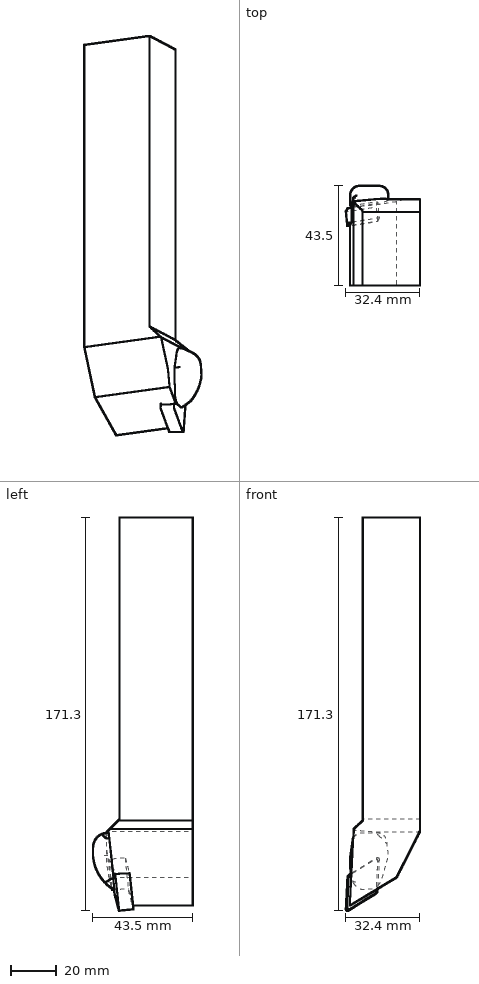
import cadquery as cq
import math

shank_width = 25.0
shank_height = 32.0
tool_top = 171.35
head_height = 37.6
step_z = 39.3
rise_z = 39.9
side_angle = 3.0
shoulder = (-28.9, 35.7)
head_tip = (-30.6, 2.3)
heel = (-10.2, 14.5)
relief_start_z = 34.6

tilt_x = 0.1
tilt_z = 0.1
tilt_normal = cq.Vector(-tilt_x, 1, -tilt_z)
head_above_insert = 0.8

space_size = 120.0
space_height = 30.0

insert_tip = (-32.45, 32.0, -0.68)
insert_edge = 15.8
insert_corner_angle = 55.0
insert_thickness = 6.35
nose_radius = 0.8
pocket_clearance_height = 10.0

clamp_outline = [
    (-27.5, 34.0),
    (-15.0, 34.0),
    (-13.8, 24.0),
    (-18.0, 9.2),
    (-27.0, 9.2),
    (-30.3, 14.0),
    (-30.5, 23.0),
    (-29.3, 31.5),
]
clamp_top = 43.46
clamp_crest_z = 27.5
clamp_base = 28.0
clamp_rear_z = 35.0
clamp_rear_shoulder = (37.0, 34.0)
clamp_rear_bulge = (41.9, 31.8)
clamp_front_bulge = (41.6, 17.0)
clamp_front_foot = (34.5, 9.2)
clamp_round = 4.0
clamp_round_start = 35.5


def tilted_plane(point):
    """Plane through a point, parallel to the insert; local x runs up its cutting side."""
    edge_x = math.sin(math.radians(side_angle))
    edge_z = math.cos(math.radians(side_angle))
    along_edge = cq.Vector(edge_x, tilt_x * edge_x + tilt_z * edge_z, edge_z)
    return cq.Plane(origin=point, xDir=along_edge, normal=tilt_normal)


def insert_prism(top_offset, bottom_offset):
    """Rhombic prism with rounded corners between two offsets from the insert's top face."""
    angle = math.radians(insert_corner_angle)
    run = insert_edge * math.cos(angle)
    rise = insert_edge * math.sin(angle)
    return (
        cq.Workplane(tilted_plane(insert_tip))
        .workplane(offset=bottom_offset)
        .polyline([(0, 0), (insert_edge, 0), (insert_edge + run, rise), (run, rise)])
        .close()
        .extrude(top_offset - bottom_offset)
        .edges(cq.selectors.ParallelDirSelector(tilt_normal))
        .fillet(nose_radius)
    )


def make_holder():
    """Shank and head: plan outline extruded from the base, limited by the side outline."""
    plan = (
        cq.Workplane("XZ")
        .polyline([
            (0, tool_top),
            (-shank_width, tool_top),
            (-shank_width, step_z),
            shoulder,
            head_tip,
            heel,
            (0, relief_start_z),
        ])
        .close()
        .extrude(-head_height)
    )
    side = (
        cq.Workplane("YZ")
        .polyline([
            (0, 0),
            (0, tool_top),
            (shank_height, tool_top),
            (shank_height, rise_z),
            (head_height, rise_z - (head_height - shank_height)),
            (head_height, 0),
        ])
        .close()
        .extrude(2 * head_tip[0])
    )
    return plan.intersect(side)


def space_above_head():
    """Everything above the tilted face of the head."""
    return (
        cq.Workplane(tilted_plane(insert_tip))
        .workplane(offset=head_above_insert)
        .rect(space_size, space_size)
        .extrude(space_height)
    )


def make_clamp():
    """Straight walls under a domed top, rounded where they meet, standing on the head face."""
    walls = (
        cq.Workplane("XZ", origin=(0, clamp_base, 0))
        .polyline(clamp_outline)
        .close()
        .extrude(clamp_base - clamp_top)
    )
    dome = (
        cq.Workplane("YZ")
        .moveTo(clamp_base, clamp_rear_z)
        .lineTo(*clamp_rear_shoulder)
        .threePointArc(clamp_rear_bulge, (clamp_top, clamp_crest_z))
        .threePointArc(clamp_front_bulge, clamp_front_foot)
        .lineTo(clamp_base, clamp_front_foot[1])
        .close()
        .extrude(2 * head_tip[0])
    )
    clamp = walls.intersect(dome)
    above_base = cq.selectors.BoxSelector(
        (2 * head_tip[0], clamp_round_start, 0), (0, 2 * clamp_top, tool_top)
    )
    rim = clamp.edges(above_base).edges("not(|X or |Y)")
    clamp = rim.fillet(clamp_round)
    return clamp.intersect(space_above_head())


insert = insert_prism(0, -insert_thickness)
holder = make_holder()
holder = holder.cut(space_above_head())
holder = holder.cut(insert_prism(pocket_clearance_height, -insert_thickness))
holder = holder.union(make_clamp())
result = cq.Compound.makeCompound([*holder.vals(), *insert.vals()])